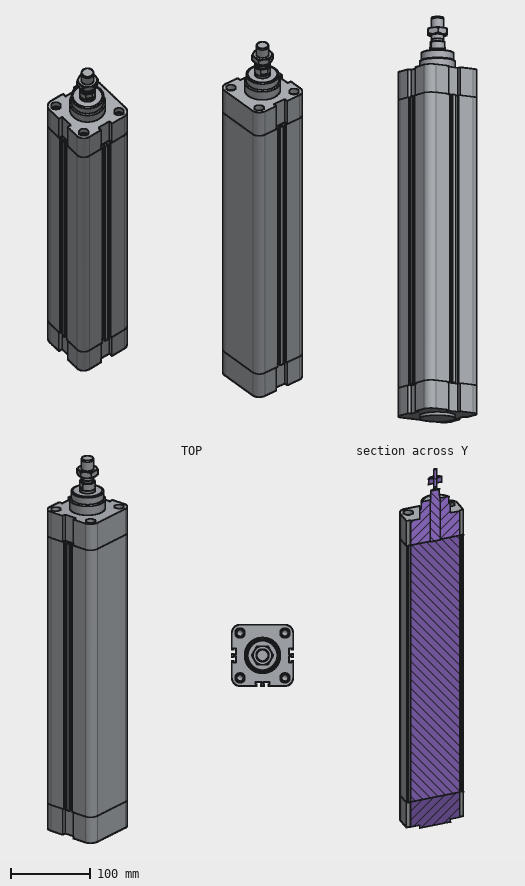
import cadquery as cq
import math

TOTAL_LENGTH = 514.0
REAR_COLLAR_HEIGHT = 4.0
CAP_HEIGHT = 36.0
ROD_END_LENGTH = 32.0
SHOULDER_ABOVE_HEAD = 37.0

shoulder_z = TOTAL_LENGTH - ROD_END_LENGTH
head_top_z = shoulder_z - SHOULDER_ABOVE_HEAD
head_bottom_z = head_top_z - CAP_HEIGHT
tube_bottom_z = REAR_COLLAR_HEIGHT + CAP_HEIGHT

SIDE = 77.5
CORNER_RADIUS = 11.0
SLOTTED_SIDES = (180, 270, 360)

SLOT_DEPTH = 5.0
SLOT_WIDTH = 17.5
TUBE_SLOT_OPENING = 14.0
LIP_THICKNESS = 2.5
RIB_HEAD_WIDTH = 4.5
RIB_STEM_WIDTH = 2.5

COLLAR_DIAMETER = 45.0
COLLAR_HEIGHT = 14.0
COLLAR_CHAMFER_HEIGHT = 1.5
BOSS_DIAMETER = 41.0
BOSS_TOP_ABOVE_HEAD = 24.0
BOSS_CHAMFER_HEIGHT = 1.0
BOSS_CHAMFER_WIDTH = 2.0

HOLE_SPACING = 56.5
COUNTERBORE_DIAMETER = 12.5
COUNTERBORE_DEPTH = 7.5
HOLE_DIAMETER = 8.0
HOLE_DEPTH = 20.5
DRILL_TIP_DEPTH = 2.5

ROD_DIAMETER = 20.0
WRENCH_SECTION_DIAMETER = 19.5
WRENCH_SECTION_LENGTH = 9.0
FLAT_LENGTH = 7.0
FLATS_ACROSS = 17.5
FLAT_DIRECTION = 155.0
THREAD_DIAMETER = 16.0
THREAD_LENGTH = 28.5
THREAD_CHAMFER_HEIGHT = 2.0
NECK_DIAMETER = 14.5

NUT_ACROSS_FLATS = 23.5
NUT_THICKNESS = 8.0
NUT_TOP_BELOW_ROD_END = 14.5
NUT_CHAMFER_HEIGHT = 1.5


def square_bar(bottom_z, height):
    """Square bar with rounded long edges."""
    bar = cq.Workplane("XY").workplane(offset=bottom_z).rect(SIDE, SIDE).extrude(height)
    return bar.edges("|Z").fillet(CORNER_RADIUS)


def side_bar(direction, outer_depth, inner_depth, width, bottom_z, height):
    """Box between two depths below one side, centred on that side."""
    thickness = inner_depth - outer_depth
    middle = SIDE / 2 - (outer_depth + inner_depth) / 2
    box = cq.Workplane("XY").workplane(offset=bottom_z).center(middle, 0).rect(thickness, width)
    return box.extrude(height).rotate((0, 0, 0), (0, 0, 1), direction)


def disc(bottom_z, diameter, height):
    """Solid cylinder about the Z axis."""
    return cq.Workplane("XY").workplane(offset=bottom_z).circle(diameter / 2).extrude(height)


def cap(bottom_z):
    """End cap with a plain slot down each slotted side."""
    body = square_bar(bottom_z, CAP_HEIGHT)
    for direction in SLOTTED_SIDES:
        body = body.cut(side_bar(direction, 0, SLOT_DEPTH, SLOT_WIDTH, bottom_z, CAP_HEIGHT))
    return body


def screw_hole():
    """Counterbored hole with a conical bottom, cut down from the head face at the origin."""
    outline = (
        cq.Workplane("XZ")
        .lineTo(COUNTERBORE_DIAMETER / 2, 0)
        .lineTo(COUNTERBORE_DIAMETER / 2, -COUNTERBORE_DEPTH)
        .lineTo(HOLE_DIAMETER / 2, -COUNTERBORE_DEPTH)
        .lineTo(HOLE_DIAMETER / 2, -HOLE_DEPTH)
        .lineTo(0, -HOLE_DEPTH - DRILL_TIP_DEPTH)
        .close()
    )
    return outline.revolve(360, (0, 0, 0), (0, 1, 0))


def make_front_head():
    """Front cap with its stepped collar, the rod passage and four corner screw holes."""
    collar = disc(head_top_z, COLLAR_DIAMETER, COLLAR_HEIGHT).faces(">Z").chamfer(
        COLLAR_CHAMFER_HEIGHT, (COLLAR_DIAMETER - BOSS_DIAMETER) / 2
    )
    boss = disc(head_top_z, BOSS_DIAMETER, BOSS_TOP_ABOVE_HEAD).faces(">Z").chamfer(
        BOSS_CHAMFER_HEIGHT, BOSS_CHAMFER_WIDTH
    )
    head = cap(head_bottom_z).union(collar).union(boss)
    head = head.cut(disc(head_bottom_z, ROD_DIAMETER, CAP_HEIGHT + BOSS_TOP_ABOVE_HEAD))
    for x in (-HOLE_SPACING / 2, HOLE_SPACING / 2):
        for y in (-HOLE_SPACING / 2, HOLE_SPACING / 2):
            head = head.cut(screw_hole().translate((x, y, head_top_z)))
    return head


def make_tube():
    """Profile tube with a T-slot in each slotted side, split in two by a T-shaped rib."""
    length = head_bottom_z - tube_bottom_z
    tube = square_bar(tube_bottom_z, length)
    for direction in SLOTTED_SIDES:
        opening = side_bar(direction, 0, SLOT_DEPTH, TUBE_SLOT_OPENING, tube_bottom_z, length)
        undercut = side_bar(direction, LIP_THICKNESS, SLOT_DEPTH, SLOT_WIDTH, tube_bottom_z, length)
        rib_head = side_bar(direction, 0, LIP_THICKNESS, RIB_HEAD_WIDTH, tube_bottom_z, length)
        rib_stem = side_bar(direction, 0, SLOT_DEPTH, RIB_STEM_WIDTH, tube_bottom_z, length)
        slot = opening.union(undercut).cut(rib_head).cut(rib_stem)
        tube = tube.cut(slot)
    return tube


def make_rear_cap():
    """Rear cap with a shallow centring collar underneath."""
    return cap(REAR_COLLAR_HEIGHT).union(disc(0, COLLAR_DIAMETER, REAR_COLLAR_HEIGHT))


def make_rod():
    """Stepped rod: shaft, wrench section with two opposite flats, neck and threaded end."""
    wrench_bottom_z = shoulder_z - WRENCH_SECTION_LENGTH
    rod = disc(head_bottom_z, ROD_DIAMETER, wrench_bottom_z - head_bottom_z)
    wrench_section = disc(wrench_bottom_z, WRENCH_SECTION_DIAMETER, WRENCH_SECTION_LENGTH)
    flats = (
        cq.Workplane("XY")
        .workplane(offset=shoulder_z - FLAT_LENGTH)
        .rect(FLATS_ACROSS, ROD_DIAMETER)
        .extrude(FLAT_LENGTH)
        .rotate((0, 0, 0), (0, 0, 1), FLAT_DIRECTION)
    )
    below_flats = disc(wrench_bottom_z, WRENCH_SECTION_DIAMETER, WRENCH_SECTION_LENGTH - FLAT_LENGTH)
    wrench_section = wrench_section.intersect(flats.union(below_flats))
    neck = disc(shoulder_z, NECK_DIAMETER, ROD_END_LENGTH - THREAD_LENGTH)
    thread = disc(TOTAL_LENGTH - THREAD_LENGTH, THREAD_DIAMETER, THREAD_LENGTH)
    thread = thread.faces(">Z").chamfer(THREAD_CHAMFER_HEIGHT, (THREAD_DIAMETER - NECK_DIAMETER) / 2)
    return rod.union(wrench_section).union(neck).union(thread)


def make_nut():
    """Hexagon nut with two corners along X and conically chamfered corners on both faces."""
    bottom_z = TOTAL_LENGTH - NUT_TOP_BELOW_ROD_END - NUT_THICKNESS
    across_corners = NUT_ACROSS_FLATS / math.cos(math.pi / 6)
    nut = cq.Workplane("XY").workplane(offset=bottom_z).polygon(6, across_corners).extrude(NUT_THICKNESS)
    corner_depth = (across_corners - NUT_ACROSS_FLATS) / 2
    envelope = disc(bottom_z, across_corners, NUT_THICKNESS)
    envelope = envelope.faces("<Z or >Z").chamfer(NUT_CHAMFER_HEIGHT, corner_depth)
    return nut.intersect(envelope).cut(disc(bottom_z, THREAD_DIAMETER, NUT_THICKNESS))


front_head = make_front_head()
tube = make_tube()
rear_cap = make_rear_cap()
rod = make_rod()
nut = make_nut()

result = cq.Compound.makeCompound(
    [front_head.val(), tube.val(), rear_cap.val(), rod.val(), nut.val()]
)